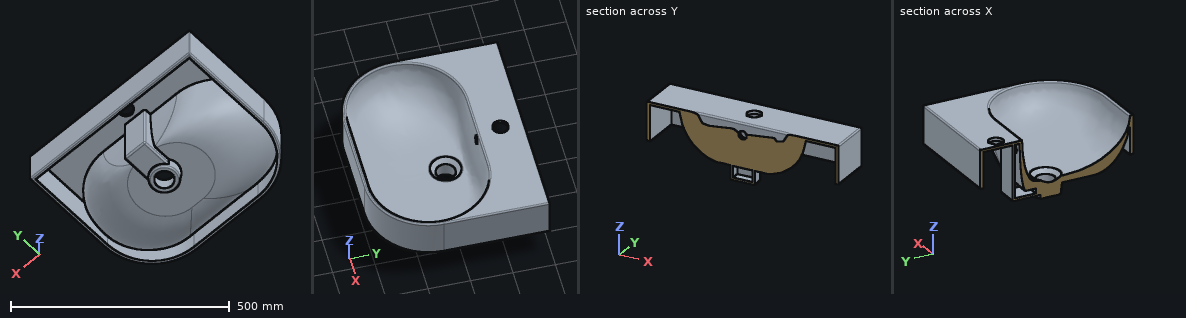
import cadquery as cq
import math


width = 500.0
depth = 400.0
body_height = 100.0
front_radius = 150.0
edge_fillet = 3.5
corner_fillet = 2.0
wall = 10.0
deck_thickness = 8.5

rim_gap = 6.5
rim_fillet = 4.0
rim_y = -(depth - front_radius)
rim_half_length = width / 2 - rim_gap - rim_fillet
rim_radius = front_radius - rim_gap - rim_fillet
bowl_depth = 112.0
section_points = 48
profile_steps = 6

shell_depth = 131.0
shell_floor = (105.0, -120.0, -295.0)
shell_rim = (260.0, -102.5, -392.0)

tap_y = -55.0
tap_diameter = 36.0
overflow_z = -30.0
overflow_diameter = 20.0

drain_y = -184.0
total_height = 160.0
drain_hole_radius = 23.0
drain_seat_radius = 36.0
drain_seat_depth = 11.0
drain_land_radius = 39.5
boss_top_radius = 39.0
boss_bottom_radius = 36.0
boss_fillet = 4.0

duct_half_width = 32.5
duct_back_y = -83.5
duct_bottom_z = -150.0
duct_fillet = 4.5
duct_wall = 8.0


def body_outline(inset):
    """Square back corners and large round front corners, moved inwards by inset."""
    half = width / 2 - inset
    back = -inset
    front = inset - depth
    radius = front_radius - inset
    diagonal = radius * math.sqrt(0.5)
    straight = half - radius
    return (
        cq.Workplane("XY")
        .moveTo(-half, back)
        .lineTo(half, back)
        .lineTo(half, rim_y)
        .threePointArc((straight + diagonal, rim_y - diagonal), (straight, front))
        .lineTo(-straight, front)
        .threePointArc((-straight - diagonal, rim_y - diagonal), (-half, rim_y))
        .close()
    )


def bowl_profile(step, full_depth):
    """Spread (0 at the floor, 1 at the rim) and height along a quarter-ellipse wall."""
    angle = math.pi / 2 * step / profile_steps
    return math.sin(angle), -full_depth * math.cos(angle)


def rim_reach(angle):
    """Distance from the middle of the rim stadium to the rim in a direction."""
    across = abs(math.cos(angle))
    along = abs(math.sin(angle))
    straight = rim_half_length - rim_radius
    if straight * along >= rim_radius * across:
        return rim_radius / along
    return straight * across + math.sqrt(rim_radius**2 - (straight * along) ** 2)


def cavity_section(spread, z):
    """Closed curve changing from the drain land (spread 0) into the rim stadium (spread 1)."""
    middle_y = drain_y + (rim_y - drain_y) * spread
    points = []
    for index in range(section_points):
        angle = 2 * math.pi * index / section_points - math.pi / 2
        reach = drain_land_radius + (rim_reach(angle) - drain_land_radius) * spread
        points.append((reach * math.cos(angle), middle_y + reach * math.sin(angle), z))
    edge = cq.Edge.makeSpline([cq.Vector(*point) for point in points], periodic=True)
    return cq.Wire.assembleEdges([edge])


def bowl_cavity():
    """Bowl surface without edges between the drain land and the rim."""
    sections = [cavity_section(*bowl_profile(step, bowl_depth)) for step in range(profile_steps + 1)]
    return cq.Workplane(cq.Solid.makeLoft(sections))


def stadium(z, half_length, back_y, front_y):
    """Stadium wire at height z with its long axis along X."""
    radius = (back_y - front_y) / 2
    middle = (back_y + front_y) / 2
    straight = half_length - radius
    return (
        cq.Workplane("XY", origin=(0, 0, z))
        .moveTo(-straight, front_y)
        .lineTo(straight, front_y)
        .threePointArc((half_length, middle), (straight, back_y))
        .lineTo(-straight, back_y)
        .threePointArc((-half_length, middle), (-straight, front_y))
        .close()
        .val()
    )


def bowl_underside():
    """Loft with a quarter-ellipse wall from the flat underside up to the deck level."""
    sections = []
    for step in range(profile_steps + 1):
        spread, z = bowl_profile(step, shell_depth)
        sizes = [low + (high - low) * spread for low, high in zip(shell_floor, shell_rim)]
        sections.append(stadium(z, *sizes))
    return cq.Workplane(cq.Solid.makeLoft(sections))


def block(half_width, back_y, front_y, top_z, bottom_z):
    """Upright block centred on X = 0."""
    return (
        cq.Workplane("XY", origin=(0, 0, bottom_z))
        .center(0, (back_y + front_y) / 2)
        .rect(2 * half_width, back_y - front_y)
        .extrude(top_z - bottom_z)
    )


def upright_cone(bottom_z, bottom_radius, top_z, top_radius):
    """Cone on the drain axis."""
    base = cq.Vector(0, drain_y, bottom_z)
    return cq.Workplane(cq.Solid.makeCone(bottom_radius, top_radius, top_z - bottom_z, pnt=base))


def upright_cylinder(radius, bottom_z, top_z):
    """Cylinder on the drain axis."""
    return cq.Workplane("XY", origin=(0, drain_y, bottom_z)).circle(radius).extrude(top_z - bottom_z)


body = body_outline(0).extrude(-body_height)
body = body.edges("|Z and >Y").fillet(corner_fillet)
body = body.faces("<Z or >Z").edges().fillet(edge_fillet)
hollow = body_outline(wall).extrude(-body_height).translate((0, 0, -deck_thickness))
body = body.cut(hollow)

shell = bowl_underside()
shell = shell.intersect(body_outline(rim_gap).extrude(-shell_depth))

boss = upright_cone(-total_height, boss_bottom_radius, -shell_depth, boss_top_radius)
boss = boss.faces("<Z").edges().fillet(boss_fillet)
boss = boss.union(upright_cylinder(boss_top_radius, -shell_depth, -bowl_depth))

duct = block(duct_half_width, duct_back_y, drain_y, -deck_thickness / 2, duct_bottom_z)
duct = duct.edges("(|Z and >Y) or (<Z and (not <Y))").fillet(duct_fillet)
duct_space = block(
    duct_half_width - duct_wall,
    duct_back_y - duct_wall,
    drain_y + boss_top_radius,
    -deck_thickness,
    duct_bottom_z + duct_wall,
).cut(shell)

basin = body.union(duct.cut(duct_space)).union(shell).union(boss)

basin = basin.cut(bowl_cavity())
rim_edges = basin.faces(">Z").val().innerWires()[0].Edges()
basin = basin.newObject(rim_edges).fillet(rim_fillet)

drain_hole = upright_cylinder(drain_hole_radius, -total_height, -bowl_depth)
seat = upright_cone(-bowl_depth - drain_seat_depth, drain_hole_radius, -bowl_depth, drain_seat_radius)
basin = basin.cut(drain_hole).cut(seat)

tap_hole = cq.Workplane("XY").center(0, tap_y).circle(tap_diameter / 2).extrude(-2 * deck_thickness)
basin = basin.cut(tap_hole)

overflow_start_y = duct_back_y - duct_wall
overflow = (
    cq.Workplane("XZ", origin=(0, overflow_start_y, overflow_z))
    .circle(overflow_diameter / 2)
    .extrude(overflow_start_y - rim_y)
)
result = basin.cut(overflow)